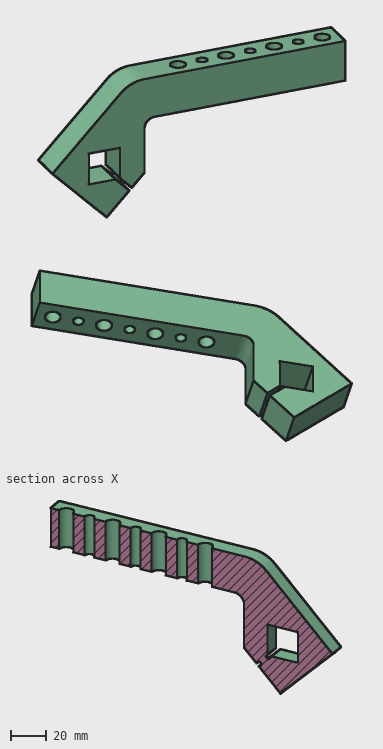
import cadquery as cq
import math

LENGTH = 182.5
WIDTH = 20.0
HEIGHT = 82.5

ARM_THICKNESS = 25.0
BEND_RADIUS = 20.0
INNER_RADIUS = 6.0
INNER_WALL_Y = -125.0

HEAD_WIDTH = 47.8
head_leg = HEAD_WIDTH * math.sqrt(0.5)
nose_z = -HEIGHT + head_leg
bottom_y = -LENGTH + head_leg
bend_y = -LENGTH - nose_z
jaw_z = -HEIGHT + (INNER_WALL_Y - bottom_y)

SQUARE_SIDE = 19.3
SQUARE_CORNER_Y = -140.4
SQUARE_BOTTOM_Z = -59.7
SLIT_WIDTH = 2.0
PIN_DIAMETER = 6.0
PIN_EMBED = 1.0

HOLE_DIAMETERS = (9.0, 6.0)
HOLE_COUNT = 7
FIRST_HOLE_OFFSET = 10.0
HOLE_PITCH = 15.0


def make_body():
    """Bent arm and head, with rounded outer bend and inner corner."""
    body = (
        cq.Workplane("YZ")
        .polyline([
            (0, 0),
            (bend_y, 0),
            (-LENGTH, nose_z),
            (bottom_y, -HEIGHT),
            (INNER_WALL_Y, jaw_z),
            (INNER_WALL_Y, -ARM_THICKNESS),
            (0, -ARM_THICKNESS),
        ])
        .close()
        .extrude(WIDTH / 2, both=True)
    )
    bend_edge = cq.selectors.NearestToPointSelector((0, bend_y, 0))
    inner_edge = cq.selectors.NearestToPointSelector((0, INNER_WALL_Y, -ARM_THICKNESS))
    return body.edges(bend_edge).fillet(BEND_RADIUS).edges(inner_edge).fillet(INNER_RADIUS)


def make_arm_holes():
    """Vertical through holes in a row along the arm."""
    holes = cq.Workplane("XY")
    for index in range(HOLE_COUNT):
        hole_y = -FIRST_HOLE_OFFSET - index * HOLE_PITCH
        diameter = HOLE_DIAMETERS[index % len(HOLE_DIAMETERS)]
        hole = cq.Workplane("XY").center(0, hole_y).circle(diameter / 2).extrude(-ARM_THICKNESS)
        holes = holes.add(hole)
    return holes.combine()


def make_square_opening():
    return (
        cq.Workplane("YZ")
        .moveTo(SQUARE_CORNER_Y - SQUARE_SIDE / 2, SQUARE_BOTTOM_Z + SQUARE_SIDE / 2)
        .rect(SQUARE_SIDE, SQUARE_SIDE)
        .extrude(WIDTH / 2, both=True)
    )


slit_step = SLIT_WIDTH * math.sqrt(2)
slit_inner_y = SQUARE_CORNER_Y - slit_step / 2
lower_face_sum = bottom_y + HEIGHT
slit_reach = (lower_face_sum - (slit_inner_y - SQUARE_BOTTOM_Z)) / 2
slit_mid_y = slit_inner_y + slit_reach / 2
slit_mid_z = SQUARE_BOTTOM_Z - slit_reach / 2


def make_slit():
    """Slit of parallel walls, run past the head face and into the square."""
    slit_length = slit_reach * math.sqrt(2) + 2 * SLIT_WIDTH
    return (
        cq.Workplane("XY")
        .box(WIDTH, slit_length, SLIT_WIDTH)
        .rotate((0, 0, 0), (1, 0, 0), -45)
        .translate((0, slit_mid_y, slit_mid_z))
    )


def make_pin():
    """Round pin bridging the slit, sunk a little into both jaws."""
    return (
        cq.Workplane("XY")
        .circle(PIN_DIAMETER / 2)
        .extrude(SLIT_WIDTH / 2 + PIN_EMBED, both=True)
        .rotate((0, 0, 0), (1, 0, 0), -45)
        .translate((0, slit_mid_y, slit_mid_z))
    )


result = (
    make_body()
    .cut(make_arm_holes())
    .cut(make_square_opening())
    .cut(make_slit())
    .union(make_pin())
)